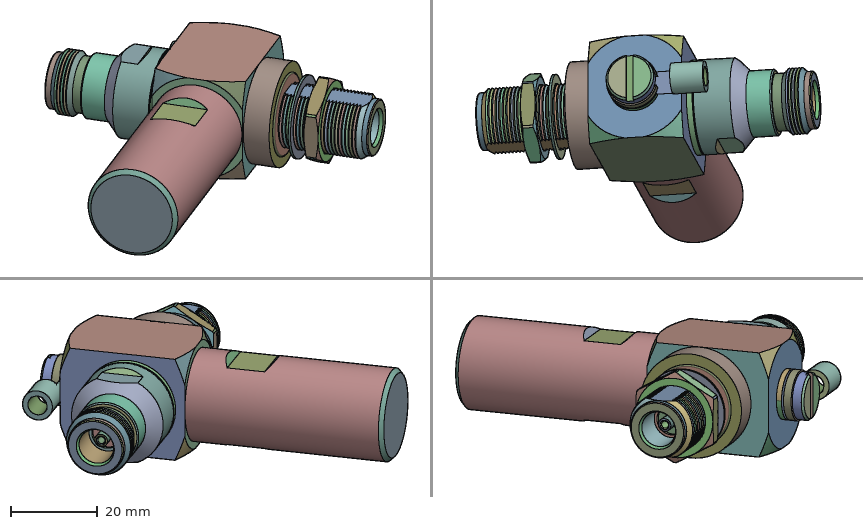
import cadquery as cq
import math


BLOCK_WIDTH = 22.0
BLOCK_HEIGHT = 25.0
BLOCK_BACK = 16.8
BLOCK_FRONT = -13.2
BLOCK_FACE_RADIUS = 12.7
BLOCK_CHAMFER_ANGLE = 31

STUB_RADIUS = 10.9
STUB_END = -60.7
STUB_CHAMFER = 1.0
STUB_FLAT_HEIGHT = 9.5
STUB_FLAT_START = -21.8
STUB_FLAT_END = -30.75

CONNECTOR_END = 39.3
TIP_RADIUS = 6.7
TIP_CHAMFER = 0.25
THREAD_RADIUS = 7.7
THREAD_DEPTH = 0.5

LEFT_CONE_START = -37.8
LEFT_THREAD_START = -36.7
LEFT_THREAD_PITCH = 0.8
LEFT_THREAD_TURNS = 4
LEFT_CONE_END = -32.5
COLLAR_START = -30.3
COLLAR_RADIUS = 7.7
COLLAR_CHAMFER = 0.3
BARREL_CONE_START = -24.4
BARREL_START = -21.25
BARREL_RADIUS = 11.0
BARREL_GROOVE_START = -12.6
BARREL_GROOVE_WIDTH = 0.25
BARREL_GROOVE_DEPTH = 0.25
BARREL_FLAT_HEIGHT = 9.8
BARREL_FLAT_END = -17.2

FLANGE_RADIUS = 12.45
FLANGE_END = 17.3
PAD_RADIUS = 9.9
PAD_END = 17.7
PAD_ROUND = 0.3
RIGHT_THREAD_START = 18.1
RIGHT_THREAD_PITCH = 0.85
RIGHT_THREAD_TURNS = 22
RIGHT_CONE_END = 37.85
RIGHT_FLAT_HEIGHT = TIP_RADIUS

SOCKET_RADIUS = 4.15
SOCKET_MOUTH_RADIUS = 4.6
SOCKET_MOUTH_DEPTH = 0.85
SOCKET_DEPTH = 9.0
SOCKET_FLOOR_RADIUS = 3.5
SOCKET_FLOOR_DEPTH = 0.85
CONTACT_RADIUS = 1.5
CONTACT_BORE_RADIUS = 0.85
CONTACT_LENGTH = 5.1
CONTACT_BORE_DEPTH = 3.8
CONTACT_POINT_LENGTH = 0.5
CONTACT_MOUTH_RADIUS = 1.1

THREAD_BORE_RADIUS = THREAD_RADIUS
WASHER_START = 21.0
WASHER_THICKNESS = 0.6
WASHER_RADIUS = 9.8
NUT_START = 24.7
NUT_LENGTH = 3.5
NUT_ACROSS_FLATS = 19.05
NUT_TIP_RADIUS = 10.8
NUT_FACE_RADIUS = 9.5
NUT_CHAMFER = 0.5

LUG_TUBE_RADIUS = 7.2 / 2
LUG_BORE_RADIUS = 2.3
LUG_THICKNESS = 1.3
LUG_TUBE_START = -17.3
LUG_TUBE_END = -9.6
LUG_EYE_RADIUS = 5.9
SPRING_WASHER_GAP = 0.5
SPRING_WASHER_THICKNESS = 1.9
SPRING_WASHER_RADIUS = 5.9
SPRING_WASHER_SPLIT = 2.8
HEAD_BASE = 20.6
HEAD_TOP = 23.3
HEAD_RADIUS = 5.6
HEAD_CHAMFER = 0.5
HEAD_SLOT_WIDTH = 1.7
HEAD_SLOT_DEPTH = 1.1
SHANK_RADIUS = 4.0
SHANK_DEPTH = 6.8


def revolved(points):
    """Solid of revolution about X from (x, radius) points."""
    start, end = points[0][0], points[-1][0]
    outline = [(start, 0), *points]
    if points[-1][1] > 0:
        outline.append((end, 0))
    return cq.Workplane("XY").polyline(outline).close().revolve(360, (0, 0, 0), (1, 0, 0))


def cylinder_y(radius, start, end):
    """Cylinder on the Y axis between two Y positions."""
    return cq.Workplane("XZ", origin=(0, start, 0)).circle(radius).extrude(start - end)


def cylinder_x(radius, start, end):
    """Cylinder on the X axis between two X positions."""
    return cq.Workplane("YZ", origin=(start, 0, 0)).circle(radius).extrude(end - start)


def thread_points(start, pitch, turns):
    """Zigzag of ring-shaped thread ridges, from the first crest to the last."""
    points = [(start, THREAD_RADIUS)]
    for turn in range(turns):
        root = start + (turn + 0.5) * pitch
        points.append((root, THREAD_RADIUS - THREAD_DEPTH))
        points.append((start + (turn + 1) * pitch, THREAD_RADIUS))
    return points


def make_block():
    half_width, half_height = BLOCK_WIDTH / 2, BLOCK_HEIGHT / 2
    block = cq.Workplane("XY").box(BLOCK_WIDTH, BLOCK_BACK - BLOCK_FRONT, BLOCK_HEIGHT)
    block = block.translate((0, (BLOCK_BACK + BLOCK_FRONT) / 2, 0))
    outer = math.hypot(half_width, half_height) + 0.85
    rise = (outer - BLOCK_FACE_RADIUS) * math.tan(math.radians(BLOCK_CHAMFER_ANGLE))
    envelope = (
        cq.Workplane("XY")
        .polyline([
            (0, BLOCK_FRONT),
            (BLOCK_FACE_RADIUS, BLOCK_FRONT),
            (outer, BLOCK_FRONT + rise),
            (outer, BLOCK_BACK - rise),
            (BLOCK_FACE_RADIUS, BLOCK_BACK),
            (0, BLOCK_BACK),
        ])
        .close()
        .revolve(360, (0, 0, 0), (0, 1, 0))
    )
    return block.intersect(envelope)


def make_stub():
    stub = cylinder_y(STUB_RADIUS, 0, STUB_END).faces("<Y").chamfer(STUB_CHAMFER)
    rise = STUB_RADIUS - STUB_FLAT_HEIGHT
    flat = (
        cq.Workplane("YZ", origin=(-STUB_RADIUS, 0, 0))
        .polyline([
            (STUB_FLAT_START, STUB_FLAT_HEIGHT),
            (STUB_FLAT_START + rise, STUB_RADIUS),
            (STUB_FLAT_END - rise, STUB_RADIUS),
            (STUB_FLAT_END, STUB_FLAT_HEIGHT),
        ])
        .close()
        .extrude(2 * STUB_RADIUS)
    )
    return stub.cut(flat).cut(flat.mirror("XY"))


def make_left_connector():
    groove_end = BARREL_GROOVE_START + BARREL_GROOVE_WIDTH
    groove_radius = BARREL_RADIUS - BARREL_GROOVE_DEPTH
    connector = revolved([
        (-CONNECTOR_END, TIP_RADIUS - TIP_CHAMFER),
        (-CONNECTOR_END + TIP_CHAMFER, TIP_RADIUS),
        (LEFT_CONE_START, TIP_RADIUS),
        *thread_points(LEFT_THREAD_START, LEFT_THREAD_PITCH, LEFT_THREAD_TURNS),
        (LEFT_CONE_END, TIP_RADIUS),
        (COLLAR_START, TIP_RADIUS),
        (COLLAR_START, COLLAR_RADIUS - COLLAR_CHAMFER),
        (COLLAR_START + COLLAR_CHAMFER, COLLAR_RADIUS),
        (BARREL_CONE_START, COLLAR_RADIUS),
        (BARREL_START, BARREL_RADIUS),
        (BARREL_GROOVE_START, BARREL_RADIUS),
        (BARREL_GROOVE_START, groove_radius),
        (groove_end, groove_radius),
        (groove_end, BARREL_RADIUS),
        (0, BARREL_RADIUS),
    ])
    rise = BARREL_RADIUS - BARREL_FLAT_HEIGHT
    flat = (
        cq.Workplane("XZ", origin=(0, BARREL_RADIUS, 0))
        .polyline([
            (BARREL_CONE_START, BARREL_FLAT_HEIGHT),
            (BARREL_FLAT_END, BARREL_FLAT_HEIGHT),
            (BARREL_FLAT_END + rise, BARREL_RADIUS),
            (BARREL_CONE_START, BARREL_RADIUS),
        ])
        .close()
        .extrude(2 * BARREL_RADIUS)
    )
    return connector.cut(flat).cut(flat.mirror("XY"))


def make_right_connector():
    threaded = revolved([
        (0, THREAD_RADIUS - THREAD_DEPTH),
        (RIGHT_THREAD_START, THREAD_RADIUS - THREAD_DEPTH),
        *thread_points(RIGHT_THREAD_START, RIGHT_THREAD_PITCH, RIGHT_THREAD_TURNS),
        (RIGHT_CONE_END, TIP_RADIUS),
        (CONNECTOR_END - TIP_CHAMFER, TIP_RADIUS),
        (CONNECTOR_END, TIP_RADIUS - TIP_CHAMFER),
    ])
    slab = cq.Workplane("XY").box(4 * CONNECTOR_END, 4 * TIP_RADIUS, 2 * RIGHT_FLAT_HEIGHT)
    flange = cylinder_x(FLANGE_RADIUS, 0, FLANGE_END)
    pad = cylinder_x(PAD_RADIUS, 0, PAD_END).faces(">X").edges().fillet(PAD_ROUND)
    return threaded.intersect(slab).union(flange).union(pad)


def make_socket():
    """Space to cut from the left connector end, which leaves the hollow contact standing."""
    floor = -CONNECTOR_END + SOCKET_DEPTH
    deep_floor = floor + SOCKET_FLOOR_DEPTH
    contact_end = deep_floor - CONTACT_LENGTH
    space = revolved([
        (-CONNECTOR_END, SOCKET_MOUTH_RADIUS),
        (-CONNECTOR_END + SOCKET_MOUTH_DEPTH, SOCKET_RADIUS),
        (floor, SOCKET_RADIUS),
        (floor, SOCKET_FLOOR_RADIUS),
        (deep_floor, SOCKET_FLOOR_RADIUS),
    ])
    contact = cylinder_x(CONTACT_RADIUS, contact_end, deep_floor)
    bore_end = contact_end + CONTACT_BORE_DEPTH
    bore = revolved([
        (contact_end, CONTACT_MOUTH_RADIUS),
        (contact_end + CONTACT_MOUTH_RADIUS - CONTACT_BORE_RADIUS, CONTACT_BORE_RADIUS),
        (bore_end, CONTACT_BORE_RADIUS),
        (bore_end + CONTACT_POINT_LENGTH, 0),
    ])
    contact = contact.cut(bore)
    return space.cut(contact)


def make_housing():
    socket = make_socket()
    housing = make_block().union(make_stub()).union(make_left_connector()).union(make_right_connector())
    housing = housing.cut(socket).cut(socket.mirror("YZ"))
    return housing.cut(cylinder_y(SHANK_RADIUS, BLOCK_BACK, BLOCK_BACK - SHANK_DEPTH))


def make_lock_washer():
    end = WASHER_START + WASHER_THICKNESS
    ring = cylinder_x(WASHER_RADIUS, WASHER_START, end)
    return ring.cut(cylinder_x(THREAD_BORE_RADIUS, WASHER_START, end))


def make_nut():
    end = NUT_START + NUT_LENGTH
    corner_circle = NUT_ACROSS_FLATS / math.cos(math.radians(30))
    hexagon = cq.Workplane("YZ", origin=(NUT_START, 0, 0)).polygon(6, corner_circle).extrude(NUT_LENGTH)
    hexagon = hexagon.rotate((0, 0, 0), (1, 0, 0), 90)
    envelope = revolved([
        (NUT_START, NUT_FACE_RADIUS),
        (NUT_START + NUT_CHAMFER, NUT_TIP_RADIUS),
        (end - NUT_CHAMFER, NUT_TIP_RADIUS),
        (end, NUT_FACE_RADIUS),
    ])
    return hexagon.intersect(envelope).cut(cylinder_x(THREAD_BORE_RADIUS, NUT_START, end))


def make_lug():
    top = BLOCK_BACK + LUG_THICKNESS
    axis_y = BLOCK_BACK + LUG_TUBE_RADIUS
    tube = cylinder_x(LUG_TUBE_RADIUS, LUG_TUBE_START, LUG_TUBE_END)
    tube = tube.cut(cylinder_x(LUG_BORE_RADIUS, LUG_TUBE_START, LUG_TUBE_END)).translate((0, axis_y, 0))
    strap = cylinder_x(LUG_TUBE_RADIUS, LUG_TUBE_END, 0).translate((0, axis_y, 0))
    level = cq.Workplane("XY").box(2 * BLOCK_WIDTH, LUG_THICKNESS, BLOCK_HEIGHT)
    strap = strap.intersect(level.translate((0, BLOCK_BACK + LUG_THICKNESS / 2, 0)))
    eye = cylinder_y(LUG_EYE_RADIUS, BLOCK_BACK, top)
    return tube.union(strap).union(eye).cut(cylinder_y(SHANK_RADIUS, BLOCK_BACK, top))


def make_spring_washer():
    bottom = BLOCK_BACK + LUG_THICKNESS + SPRING_WASHER_GAP
    top = bottom + SPRING_WASHER_THICKNESS
    ring = cylinder_y(SPRING_WASHER_RADIUS, bottom, top).cut(cylinder_y(SHANK_RADIUS, bottom, top))
    split = cq.Workplane("XY").box(SPRING_WASHER_RADIUS, 2 * SPRING_WASHER_THICKNESS, SPRING_WASHER_SPLIT)
    return ring.cut(split.translate((-SPRING_WASHER_RADIUS / 2, (bottom + top) / 2, 0)))


def make_screw():
    head = cylinder_y(HEAD_RADIUS, HEAD_BASE, HEAD_TOP).faces(">Y").chamfer(HEAD_CHAMFER)
    slot = cq.Workplane("XY").box(HEAD_SLOT_WIDTH, 2 * HEAD_SLOT_DEPTH, 2 * HEAD_RADIUS)
    head = head.cut(slot.translate((0, HEAD_TOP, 0)))
    return head.union(cylinder_y(SHANK_RADIUS, BLOCK_BACK - SHANK_DEPTH, HEAD_BASE))


housing = make_housing()
lock_washer = make_lock_washer()
nut = make_nut()
lug = make_lug()
spring_washer = make_spring_washer()
screw = make_screw()

result = cq.Compound.makeCompound([
    housing.val(),
    lock_washer.val(),
    nut.val(),
    lug.val(),
    spring_washer.val(),
    screw.val(),
])